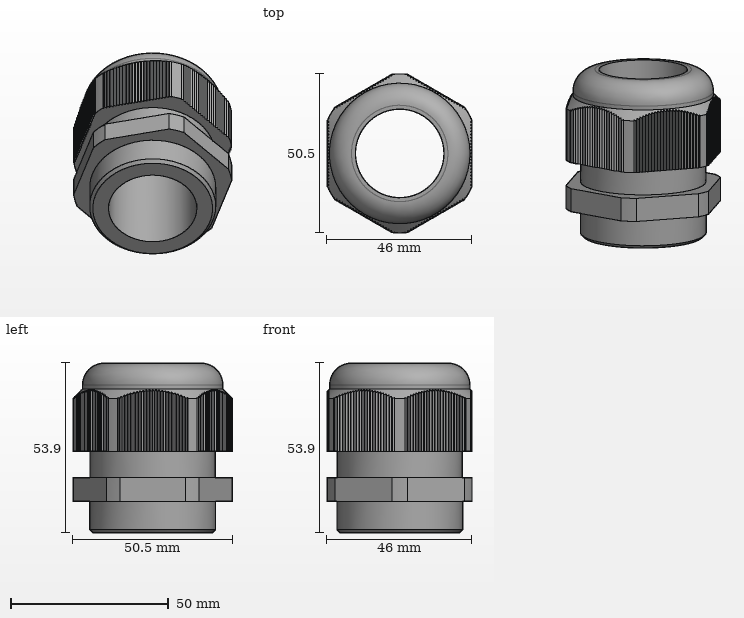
import cadquery as cq
import math


total_height = 53.86
bore_diameter = 28.0

spigot_diameter = 40.0
spigot_length = 10.0
spigot_chamfer = 1.0

across_flats = 46.0
corner_diameter = 50.5
flange_thickness = 7.5
neck_diameter = 39.8

cap_height = 28.0
dome_diameter = 44.6
dome_radius = 7.0
shoulder_height = 19.75

knurl_pitch = 1.0
knurl_depth = 0.5
grooves_per_flat = 23

flange_top = spigot_length + flange_thickness
cap_base = total_height - cap_height
shoulder_top = cap_base + shoulder_height
corner_radius = corner_diameter / 2
cap_radius = dome_diameter / 2
shoulder_bottom = shoulder_top - (corner_radius - cap_radius)
flat_distance = across_flats / 2
hex_sides = 6
side_angle = 2 * math.pi / hex_sides


def cylinder(diameter, bottom, top):
    return cq.Workplane("XY").workplane(offset=bottom).circle(diameter / 2).extrude(top - bottom)


def flat_point(side, along, outward):
    """Point on one hexagon flat: 'outward' from the axis and 'along' the flat from its middle."""
    angle = side * side_angle
    x = outward * math.cos(angle) - along * math.sin(angle)
    y = outward * math.sin(angle) + along * math.cos(angle)
    return (x, y)


def make_spigot():
    spigot = cylinder(spigot_diameter, 0, spigot_length)
    return spigot.faces("<Z").chamfer(spigot_chamfer)


def make_flange():
    corner_to_corner = across_flats / math.cos(side_angle / 2)
    hexagon = (
        cq.Workplane("XY")
        .workplane(offset=spigot_length)
        .transformed(rotate=(0, 0, math.degrees(side_angle / 2)))
        .polygon(hex_sides, corner_to_corner)
        .extrude(flange_thickness)
    )
    return hexagon.intersect(cylinder(corner_diameter, spigot_length, flange_top))


def make_knurled_prism():
    """Hexagonal prism with V grooves along every flat, a groove lying on the middle of each flat."""
    half_width = grooves_per_flat * knurl_pitch / 2
    outline = []
    for side in range(hex_sides):
        for groove in range(grooves_per_flat):
            ridge = groove * knurl_pitch - half_width
            valley = ridge + knurl_pitch / 2
            outline.append(flat_point(side, ridge, flat_distance))
            outline.append(flat_point(side, valley, flat_distance - knurl_depth))
        outline.append(flat_point(side, half_width, flat_distance))
    prism = cq.Workplane("XY").workplane(offset=cap_base).polyline(outline).close()
    return prism.extrude(shoulder_height)


def make_cap():
    shoulder_envelope = (
        cq.Workplane("XZ")
        .moveTo(0, cap_base)
        .lineTo(corner_radius, cap_base)
        .lineTo(corner_radius, shoulder_bottom)
        .lineTo(cap_radius, shoulder_top)
        .lineTo(0, shoulder_top)
        .close()
        .revolve(360, (0, 0, 0), (0, 1, 0))
    )
    grip = make_knurled_prism().intersect(shoulder_envelope)
    dome = cylinder(dome_diameter, cap_base, total_height).faces(">Z").edges().fillet(dome_radius)
    return grip.union(dome)


neck = cylinder(neck_diameter, flange_top, cap_base)
body = make_spigot().union(make_flange()).union(neck).union(make_cap())
result = body.cut(cylinder(bore_diameter, 0, total_height))